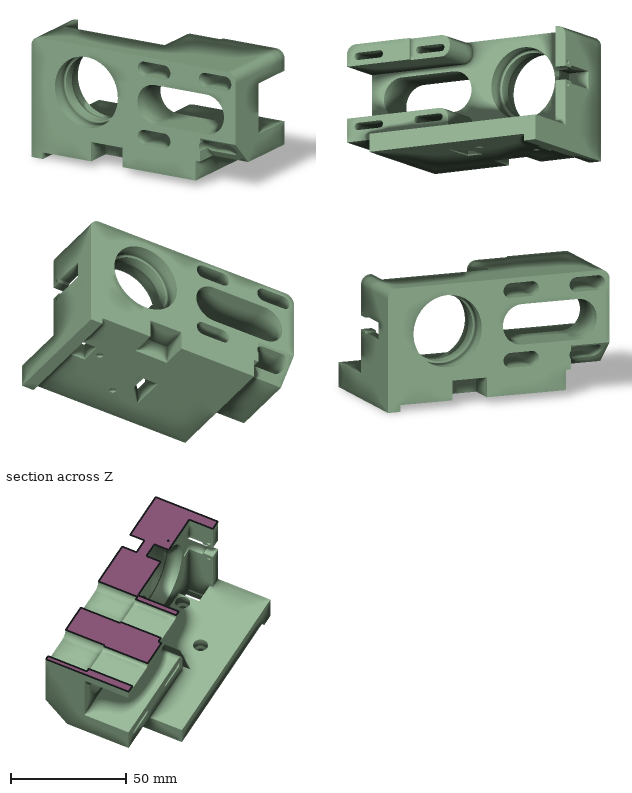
import cadquery as cq

length = 104.0
depth = 56.0
height = 55.0
edge_radius = 4.2

wall_thickness = 19.0
foot_height = 3.0
foot_width = 5.8

base_length = 83.6
base_top = 11.0
overhang_bottom = 12.0

axis_z = 34.0
arm_left = 53.2
arm_back = 40.5
arm_gap = 23.0
upper_arm_bottom = axis_z + arm_gap / 2
lower_arm_top = axis_z - arm_gap / 2
arm_relief_depth = 1.6
arm_relief_right = 72.6

chamfer_left = 85.8
chamfer_size = lower_arm_top - overhang_bottom

tab_thickness = 5.0
tab_back = 30.5
slot_front = 10.6
slot_end = 10.0
slot_height = 8.0
slot_mouth_height = 6.0
slot_bevel_front = 25.2
slot_bevel_back = 25.9
pin_diameter = 1.9
pin_y = 28.4
pin_spacing = 10.0

bore_x = 28.0
bore_diameter = 29.5
counterbore_diameter = 32.0
counterbore_depth = 7.0

window_x = 76.0
window_length = 44.0
window_height = 18.0
screw_diameter = 3.2
screw_head_diameter = 6.5
screw_slot_length = 14.2
head_slot_length = 16.5
head_slot_depth = wall_thickness
slot_group_x = 78.0
screw_slot_offset = 15.0
head_slot_offset = 15.5
slot_offset_z = 15.5

base_screw_points = [(19.0, 23.0), (37.0, 41.0)]
base_head_depth = 4.0
port_right = 15.0
port_back = 29.0
vent_left = 43.7
vent_right = 51.2
vent_front = 26.9
vent_left_back = 34.5
vent_right_back = 43.5

notch_left = 30.4
notch_right = 46.4
notch_top = 11.8
notch_depth = 12.0


def block(x_range, y_range, z_range):
    """Box between the given limits on each axis."""
    sizes = [high - low for low, high in (x_range, y_range, z_range)]
    corner = (x_range[0], y_range[0], z_range[0])
    return cq.Workplane("XY").box(*sizes, centered=False).translate(corner)


def slot_along_y(x, z, slot_length, slot_width, slot_depth):
    """Round-ended slot cutter that starts on the front face."""
    return (
        cq.Workplane("XZ")
        .center(x, z)
        .slot2D(slot_length, slot_width)
        .extrude(-slot_depth)
    )


def bore_along_y(diameter, start, end):
    """Cylindrical cutter on the bore axis between two Y positions."""
    plane = cq.Workplane("XZ", origin=(bore_x, start, axis_z))
    return plane.circle(diameter / 2).extrude(start - end)


def make_wall():
    left_end = block((0, base_length), (0, wall_thickness), (foot_height, height))
    right_end = block((0, length), (0, wall_thickness), (overhang_bottom, height))
    return left_end.union(right_end)


def make_base():
    plate = block((0, base_length), (0, depth), (foot_height, base_top))
    return plate.cut(block((tab_thickness, port_right), (wall_thickness, port_back), (0, height)))


def make_arms():
    upper = block((arm_left, length), (0, arm_back), (upper_arm_bottom, height))
    upper = upper.edges("|Y and <X").fillet(edge_radius)
    relief = block(
        (arm_left, arm_relief_right),
        (arm_back - arm_relief_depth, arm_back),
        (upper_arm_bottom, height),
    )
    lower = block((arm_left, length), (0, arm_back), (overhang_bottom, lower_arm_top))
    lower = lower.edges("|Y and <X and >Z").fillet(edge_radius)
    lower_root = block((arm_left, base_length), (0, arm_back), (foot_height, overhang_bottom))
    return upper.cut(relief).union(lower).union(lower_root)


def make_tab():
    return block((0, tab_thickness), (0, tab_back), (foot_height, height))


def round_top_corners(body):
    """Round the two upper ends of the part along Y."""
    span = (0, depth)
    top = (height - edge_radius, height)
    left = block((0, edge_radius), span, top)
    right = block((length - edge_radius, length), span, top)
    for corner, axis_x in ((left, edge_radius), (right, length - edge_radius)):
        rod = (
            cq.Workplane("XZ")
            .center(axis_x, height - edge_radius)
            .circle(edge_radius)
            .extrude(-depth)
        )
        body = body.cut(corner.cut(rod))
    return body


def cut_bore(body):
    """Through bore that leaves a narrow ring between its front and rear counterbores."""
    rear_start = wall_thickness - counterbore_depth
    body = body.cut(bore_along_y(bore_diameter, 0, wall_thickness))
    body = body.cut(bore_along_y(counterbore_diameter, 0, counterbore_depth))
    return body.cut(bore_along_y(counterbore_diameter, rear_start, wall_thickness))


def cut_window_and_slots(body):
    body = body.cut(slot_along_y(window_x, axis_z, window_length, window_height, wall_thickness))
    for side in (-1, 1):
        for level in (-1, 1):
            z = axis_z + level * slot_offset_z
            screw_x = slot_group_x + side * screw_slot_offset
            head_x = slot_group_x + side * head_slot_offset
            body = body.cut(slot_along_y(screw_x, z, screw_slot_length, screw_diameter, depth))
            body = body.cut(
                slot_along_y(head_x, z, head_slot_length, screw_head_diameter, head_slot_depth)
            )
    return body


def cut_tab_slot(body):
    """Side slot that narrows at its rear mouth and ends blind beside the bore."""
    half = slot_height / 2
    mouth_half = slot_mouth_height / 2
    profile = [
        (slot_front, axis_z - half),
        (slot_bevel_front, axis_z - half),
        (slot_bevel_back, axis_z - mouth_half),
        (tab_back, axis_z - mouth_half),
        (tab_back, axis_z + mouth_half),
        (slot_bevel_back, axis_z + mouth_half),
        (slot_bevel_front, axis_z + half),
        (slot_front, axis_z + half),
    ]
    body = body.cut(cq.Workplane("YZ").polyline(profile).close().extrude(slot_end))
    pins = (
        cq.Workplane("YZ")
        .pushPoints([(pin_y, axis_z - pin_spacing / 2), (pin_y, axis_z + pin_spacing / 2)])
        .circle(pin_diameter / 2)
        .extrude(tab_thickness)
    )
    return body.cut(pins)


def cut_base_openings(body):
    screws = cq.Workplane("XY").pushPoints(base_screw_points)
    body = body.cut(screws.circle(screw_diameter / 2).extrude(base_top))
    heads = cq.Workplane("XY", origin=(0, 0, base_top)).pushPoints(base_screw_points)
    body = body.cut(heads.circle(screw_head_diameter / 2).extrude(-base_head_depth))
    vent = [
        (vent_left, vent_front),
        (vent_right, vent_front),
        (vent_right, vent_right_back),
        (vent_left, vent_left_back),
    ]
    return body.cut(cq.Workplane("XY").polyline(vent).close().extrude(base_top))


def cut_front_edge(body):
    """Notch in the lower front edge and the chamfer under the right end."""
    body = body.cut(block((notch_left, notch_right), (0, notch_depth), (0, notch_top)))
    chamfer = (
        cq.Workplane("YZ", origin=(chamfer_left, 0, 0))
        .moveTo(0, overhang_bottom)
        .lineTo(chamfer_size, overhang_bottom)
        .lineTo(0, overhang_bottom + chamfer_size)
        .close()
        .extrude(length - chamfer_left)
    )
    return body.cut(chamfer)


foot = block((0, foot_width), (0, depth), (0, foot_height))
result = make_wall().union(make_base()).union(make_arms()).union(make_tab()).union(foot)
result = round_top_corners(result)
result = cut_bore(result)
result = cut_window_and_slots(result)
result = cut_tab_slot(result)
result = cut_base_openings(result)
result = cut_front_edge(result)